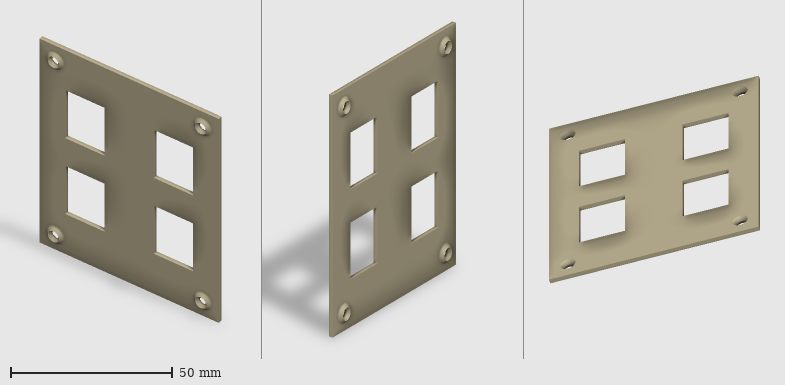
import cadquery as cq
import math

width = 68.1
height = 82.0
plate_thickness = 1.5
boss_height = 1.15

window_width = 14.9
window_height = 19.3
window_pitch_x = 33.6
window_pitch_z = 30.5
window_left_x = -window_pitch_x / 2
window_bottom_z = -window_pitch_z / 2

boss_pitch_x = 55.95
boss_pitch_z = 70.1
rim_radius = 2.1
hole_radius = 1.3
flare_radius = 0.8
bore_length = 0.6
cone_angle = math.radians(45)

rim_y = -boss_height
boss_centers = [
    (sx * boss_pitch_x / 2, sz * boss_pitch_z / 2) for sx in (-1, 1) for sz in (-1, 1)
]
window_centers = [
    (window_left_x + column * window_pitch_x, window_bottom_z + row * window_pitch_z)
    for column in range(2)
    for row in range(2)
]


def make_plate():
    """Flat plate between Y = 0 and Y = plate_thickness."""
    return cq.Workplane("XY").box(
        width, plate_thickness, height, centered=(True, False, True)
    )


def make_windows():
    """Cutters for the rectangular windows."""
    cutters = cq.Workplane("XZ").pushPoints(window_centers)
    return cutters.rect(window_width, window_height).extrude(-plate_thickness)


def make_boss(x, z):
    """45 degree cone whose foot flares into the plate with a concave arc."""
    cone_foot_radius = rim_radius + boss_height
    tangent_length = flare_radius * math.tan(cone_angle / 2)
    flare_outer_radius = cone_foot_radius + tangent_length
    leg = tangent_length * math.sin(cone_angle)
    arc_offset = flare_radius * math.sin(cone_angle / 2)
    arc_rise = flare_radius * (1 - math.cos(cone_angle / 2))
    profile = (
        cq.Workplane("XY")
        .moveTo(0, rim_y)
        .lineTo(rim_radius, rim_y)
        .lineTo(cone_foot_radius - leg, -leg)
        .threePointArc((flare_outer_radius - arc_offset, -arc_rise), (flare_outer_radius, 0))
        .lineTo(flare_outer_radius, plate_thickness)
        .lineTo(0, plate_thickness)
        .close()
    )
    return profile.revolve(360, (0, 0), (0, 1)).translate((x, 0, z))


def make_hole(x, z):
    """Short bore opening at 45 degrees to the boss rim and to the back of the plate."""
    bore_front_y = rim_y + rim_radius - hole_radius
    bore_back_y = bore_front_y + bore_length
    back_radius = hole_radius + plate_thickness - bore_back_y
    profile = (
        cq.Workplane("XY")
        .moveTo(0, rim_y)
        .lineTo(rim_radius, rim_y)
        .lineTo(hole_radius, bore_front_y)
        .lineTo(hole_radius, bore_back_y)
        .lineTo(back_radius, plate_thickness)
        .lineTo(0, plate_thickness)
        .close()
    )
    return profile.revolve(360, (0, 0), (0, 1)).translate((x, 0, z))


result = make_plate().cut(make_windows())
for center_x, center_z in boss_centers:
    result = result.union(make_boss(center_x, center_z))
    result = result.cut(make_hole(center_x, center_z))